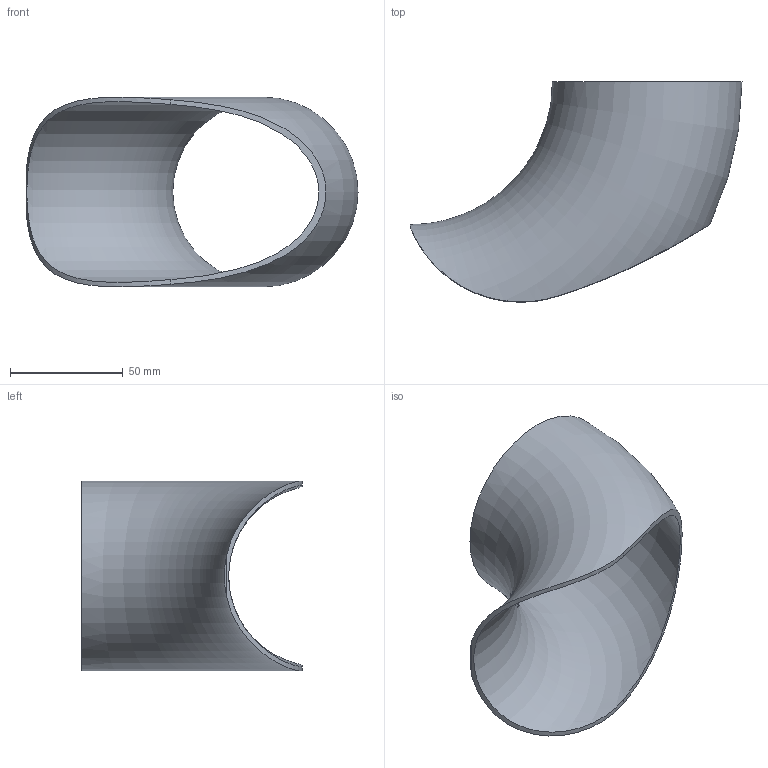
import cadquery as cq

pipe_diameter = 84.0
wall_thickness = 2.0
bend_radius = 105.0
bend_angle = 90.0

end_wall_width = 1.0
arc_bottom_x = 48.9
mouth_depth = 97.46
seam_x = 64.2
cut_margin = 20.0

pipe_radius = pipe_diameter / 2
bore_radius = pipe_radius - wall_thickness
arc_start_y = -(bend_radius - pipe_radius + end_wall_width)
cut_x_min = -cut_margin
cut_x_max = bend_radius + pipe_radius + cut_margin
cut_y_min = -cut_x_max
cut_height = pipe_diameter + 2 * cut_margin


def bent_rod(radius):
    """Solid round rod bent about Z from the +X axis to the -Y axis."""
    profile = cq.Workplane("XZ").center(bend_radius, 0).circle(radius)
    axis_start = (-bend_radius, 0)
    axis_end = (-bend_radius, -1)
    return profile.revolve(bend_angle, axis_start, axis_end)


def saddle_point(x):
    """Point of the parabola where the elbow meets an equal straight pipe running along X."""
    return (x, x**2 / (4 * bend_radius) - bend_radius)


def saddle_curve(t):
    """Saddle curve from the seam (t = 0) to beyond the outer side of the bend (t = 1)."""
    return saddle_point(seam_x + t * (cut_x_max - seam_x))


def mouth_cutter():
    """Prism along Z that removes everything below the mouth outline."""
    outline = (
        cq.Workplane("XY", origin=(0, 0, -cut_height / 2))
        .moveTo(cut_x_min, cut_y_min)
        .lineTo(cut_x_min, arc_start_y)
        .lineTo(0, arc_start_y)
        .threePointArc((arc_bottom_x, -mouth_depth), saddle_point(seam_x))
        .parametricCurve(saddle_curve, makeWire=False)
        .lineTo(cut_x_max, cut_y_min)
        .close()
    )
    return outline.extrude(cut_height)


elbow = bent_rod(pipe_radius).cut(bent_rod(bore_radius))
result = elbow.cut(mouth_cutter())